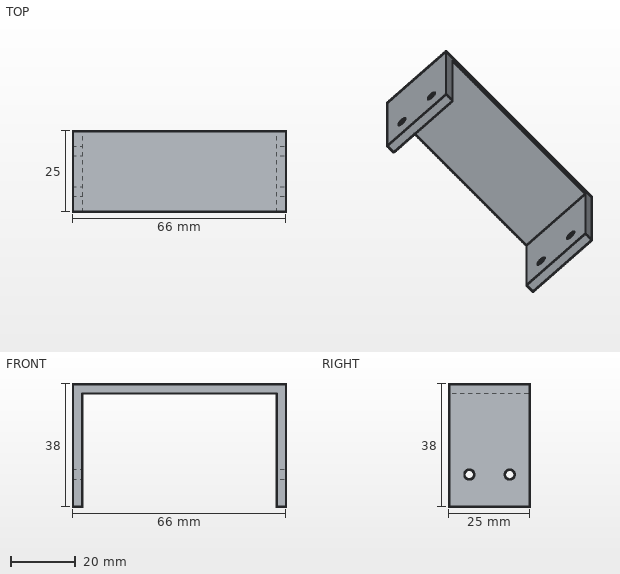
import cadquery as cq

length = 66.0
depth = 25.0
height = 38.0
wall = 3.0

hole_diameter = 3.0
hole_height = 10.0
hole_spacing = depth / 2

block = cq.Workplane("XY").box(length, depth, height, centered=(True, True, False))

channel = cq.Workplane("XY").box(
    length - 2 * wall, depth, height - wall, centered=(True, True, False)
)

holes = (
    cq.Workplane("YZ", origin=(-length / 2, 0, hole_height))
    .pushPoints([(-hole_spacing / 2, 0), (hole_spacing / 2, 0)])
    .circle(hole_diameter / 2)
    .extrude(length)
)

result = block.cut(channel).cut(holes)